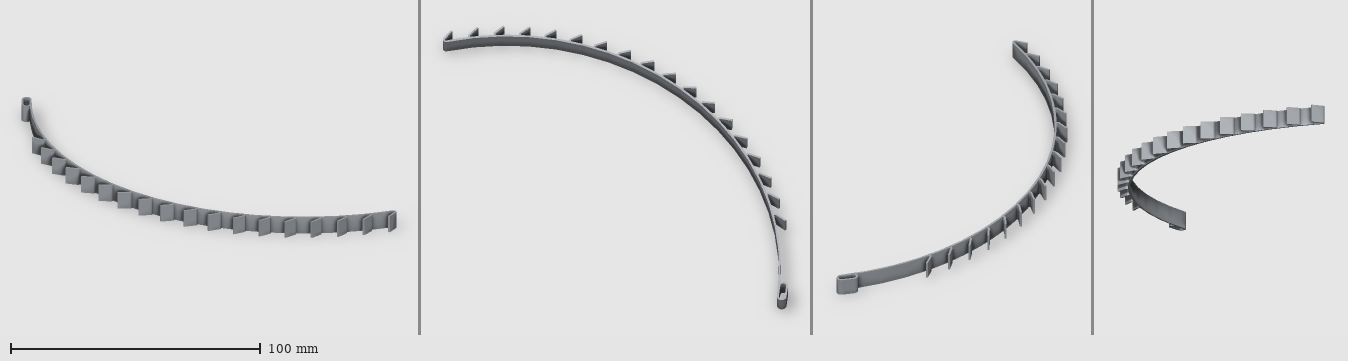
import cadquery as cq
import math

width = 7.0
thickness = 0.8
band_radius = 109.5
band_start_angle = -54.9
band_end_angle = 55.4
end_round = 1.3

tooth_count = 18
tooth_pitch = 5.3
root_length = 1.0
bend_radius = 0.5
blade_length = 4.8
blade_lean = 39.0

loop_straight = 4.8
loop_end_radius = 1.55

half_thickness = thickness / 2


def band_frame(angle, radius=band_radius):
    """Point at an angle along the band, with its outward and forward unit directions."""
    turn = math.radians(angle)
    outward = cq.Vector(math.sin(turn), -math.cos(turn))
    forward = cq.Vector(math.cos(turn), math.sin(turn))
    return outward * radius, outward, forward


def make_band():
    inner = band_radius - half_thickness
    outer = band_radius + half_thickness
    middle_angle = (band_start_angle + band_end_angle) / 2
    end, end_outward, end_forward = band_frame(band_end_angle)

    end_inner = end + end_forward * half_thickness - end_outward * half_thickness
    end_outer = end + end_forward * half_thickness + end_outward * half_thickness
    start_inner = band_frame(band_start_angle, inner)[0]
    start_outer = band_frame(band_start_angle, outer)[0]
    return (
        cq.Workplane("XY")
        .moveTo(start_inner.x, start_inner.y)
        .threePointArc(band_frame(middle_angle, inner)[0], end_inner)
        .lineTo(end_outer.x, end_outer.y)
        .threePointArc(band_frame(middle_angle, outer)[0], start_outer)
        .close()
        .extrude(width)
    )


def make_tooth(angle):
    root, outward, forward = band_frame(angle)
    lean = math.radians(blade_lean)
    blade = outward * math.sin(lean) - forward * math.cos(lean)
    blade_front = outward * math.cos(lean) + forward * math.sin(lean)
    bend_middle = (forward + blade_front).normalized()

    bend_centre = root + outward * root_length - forward * bend_radius
    front = bend_radius + half_thickness
    back = bend_radius - half_thickness
    root_back = root - forward * half_thickness
    root_front = root + forward * half_thickness
    tip_front = bend_centre + blade * blade_length + blade_front * front
    tip_back = bend_centre + blade * blade_length + blade_front * back
    bend_back_end = bend_centre + blade_front * back
    return (
        cq.Workplane("XY")
        .polyline([root_back, root_front, bend_centre + forward * front])
        .threePointArc(bend_centre + bend_middle * front, bend_centre + blade_front * front)
        .lineTo(tip_front.x, tip_front.y)
        .lineTo(tip_back.x, tip_back.y)
        .lineTo(bend_back_end.x, bend_back_end.y)
        .threePointArc(bend_centre + bend_middle * back, bend_centre + forward * back)
        .close()
        .extrude(width)
    )


def make_loop():
    start, outward, forward = band_frame(band_start_angle)
    centre = start + forward * (loop_straight / 2) + outward * loop_end_radius
    outer_width = 2 * loop_end_radius + thickness
    inner_width = 2 * loop_end_radius - thickness
    return (
        cq.Workplane(cq.Plane(centre, xDir=forward, normal=(0, 0, 1)))
        .slot2D(loop_straight + outer_width, outer_width)
        .slot2D(loop_straight + inner_width, inner_width)
        .extrude(width)
    )


def round_band_end(part):
    """Round the inner corner where the band turns into the last tooth."""
    end, outward, forward = band_frame(band_end_angle)
    corner = end + (forward - outward) * half_thickness
    corner_edge = cq.selectors.NearestToPointSelector((corner.x, corner.y, width / 2))
    return part.edges(corner_edge).fillet(end_round)


result = make_band().union(make_loop())
for index in range(tooth_count):
    result = result.union(make_tooth(band_end_angle - index * tooth_pitch))
result = round_band_end(result)